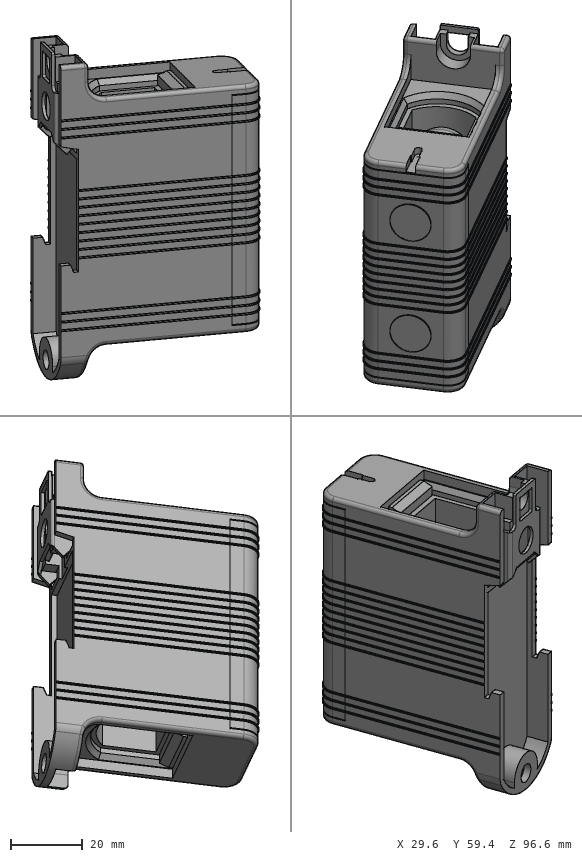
import cadquery as cq
import math

width = 29.0
half_width = width / 2
flange_top = 95.3
body_front = 59.0
flange_front = 8.1
block_bottom = 12.6
block_top = 85.0
block_middle = (block_bottom + block_top) / 2
corner_radius = 5.1
edge_round = 1.2
foot_radius = 16.2
foot_blend = 4.6

rib_height = 0.3
rib_width = 0.5
middle_rib_count = 9
middle_rib_span = 19.7
outer_rib_count = 3
outer_rib_pitch = 2.5
outer_rib_start = 25.7

wall = 2.0
foot_wall = 1.8
pocket_half_width = half_width - wall
pocket_depth = 6.8
web_bottom = 67.2
web_top = 69.0
notch_depth = 5.1
notch_bottom = 34.8
notch_ledge = 37.0
notch_lip_inner = 3.8
notch_lip_outer = 2.8
notch_top_inner = 70.6
notch_top_outer = 71.9

hole_height = 5.1
hole_diameter = 5.5
boss_diameter = 12.8
head_diameter = 9.8
lower_seat = 2.2
upper_seat = 3.4
upper_slot_height = 92.2
upper_slot_width = 6.3

guide_face = 1.2
guide_half_width = 5.5
guide_bottom = 71.4
rail_half_width = 7.1
rail_top = 88.1
groove_top = 85.0
groove_floor = 6.0

recess_half_width = 12.2
recess_depth = 2.9
recess_floor = block_top - recess_depth
window_back = 39.8
window_half_width = 10.6
window_side_end = 18.8
window_arc_end = 13.7
lead_in_half_width = 11.8
lead_in_side_end = 18.45
lead_in_arc_end = 12.4
lead_in_depth = 1.6

insert_top = 78.9
opening_back = 34.4
opening_half_width = 9.2
opening_side_end = 19.0
opening_arc_end = 15.4
corner_gap = 0.6
corner_gap_length = 1.45
bar_half_width = 8.9
bar_top = 83.7
bar_step = 82.6
bar_foot = 36.9
bar_overhang = 79.8
bar_front = 35.3
bar_ridge = 38.0
bar_rear = 39.1

cover_back = 49.9
cover_recess_top = 82.6
cover_gap = 0.3
slot_width = 2.7
slot_tip_width = 2.1
slot_step = 53.3
slot_end = 48.7
slot_depth = 2.1

plunger_spacing = 35.9
plunger_heights = [block_middle + plunger_spacing / 2, block_middle - plunger_spacing / 2]
plunger_diameter = 16.5
plunger_tip = 16.1
plunger_round = 4.9
shank_diameter = 11.8
shank_end = 59.4

clip_top = 96.6
clip_thickness = 1.0
clip_half_width = 8.6
neck_half_width = guide_half_width
shoulder_height = 85.7
shoulder_round = 1.45
neck_round = 0.5
clip_depth = 6.7
lip_thickness = 0.8
lip_inner = 6.0
tooth_tip_depth = 3.5
tooth_tip_height = 67.5
tooth_back_height = 71.1
lip_bottom = 69.4
plate_bottom = 73.2
plate_bottom_half_width = 5.0
plate_side_bottom = 70.7
clip_window_width = 6.9
clip_window_bottom = 86.9
clip_window_top = 94.5
clip_window_round = 0.7
clip_hole_diameter = 8.0
clip_hole_height = 79.4
catch_half_width = 2.6
catch_bottom = 72.1
catch_depth = 2.1


def box(x0, x1, y0, y1, z0, z1):
    """Block between the given limits."""
    return cq.Workplane("XY").box(x1 - x0, y1 - y0, z1 - z0, centered=False).translate((x0, y0, z0))


def wide_box(half, y0, y1, z0, z1):
    """Block centred on X = 0."""
    return box(-half, half, y0, y1, z0, z1)


def rod(diameter, y0, y1, z):
    """Round bar along Y at X = 0."""
    return cq.Workplane("XZ", origin=(0, y0, z)).circle(diameter / 2).extrude(y0 - y1)


def side_extrusion(points, x0, x1):
    """Polygon of (Y, Z) points, extruded from x0 to x1."""
    return cq.Workplane("YZ", origin=(x0, 0, 0)).polyline(points).close().extrude(x1 - x0)


def both_ends(shape):
    """The shape together with its mirror image about the middle height of the block."""
    return shape.union(shape.mirror("XY", (0, 0, block_middle)))


def both_sides(shape):
    """The shape together with its mirror image about X = 0."""
    return shape.union(shape.mirror("YZ"))


def foot_plate(half, radius, top, y0, y1):
    """Plate between y0 and y1 whose lower end is an arc about the foot centre."""
    shoulder = foot_radius - math.sqrt(radius**2 - half**2)
    return (
        cq.Workplane("XZ", origin=(0, y0, 0))
        .moveTo(-half, top)
        .lineTo(-half, shoulder)
        .threePointArc((0, foot_radius - radius), (half, shoulder))
        .lineTo(half, top)
        .close()
        .extrude(y0 - y1)
    )


def arched_plan(half, side_end, arc_end, back, height):
    """Window outline in X and Y at a height: straight sides closed by an arc on the -Y side."""
    return (
        cq.Workplane("XY", origin=(0, 0, height))
        .moveTo(-half, back)
        .lineTo(-half, side_end)
        .threePointArc((0, arc_end), (half, side_end))
        .lineTo(half, back)
        .close()
    )


def window_prism(half, side_end, arc_end, back, half_height):
    """Window outline extruded both ways from the middle height of the block."""
    return arched_plan(half, side_end, arc_end, back, block_middle).extrude(half_height, both=True)


def screw_slot(diameter, y0, y1, z, z_open):
    """Round hole along Y that opens straight up or down to z_open."""
    slot = wide_box(diameter / 2, y0, y1, min(z, z_open), max(z, z_open))
    return rod(diameter, y0, y1, z).union(slot)


def outer_block():
    """Block on its mounting flange, with rounded outer edges."""
    root = corner_radius
    turn = root * (1 - math.sqrt(0.5))
    profile = (
        cq.Workplane("YZ", origin=(-half_width, 0, 0))
        .lineTo(flange_front, 0)
        .lineTo(flange_front, block_bottom - root)
        .threePointArc((flange_front + turn, block_bottom - turn), (flange_front + root, block_bottom))
        .lineTo(body_front, block_bottom)
        .lineTo(body_front, block_top)
        .lineTo(flange_front + root, block_top)
        .threePointArc((flange_front + turn, block_top + turn), (flange_front, block_top + root))
        .lineTo(flange_front, flange_top)
        .lineTo(0, flange_top)
        .close()
        .extrude(width)
    )
    profile = profile.edges("|Z and >Y").fillet(corner_radius)
    foot = foot_plate(half_width, foot_radius, flange_top, 0, body_front)
    for x in (-half_width, half_width):
        corner = cq.NearestToPointSelector((x, body_front / 2, 0))
        foot = foot.edges("|Y").edges(corner).fillet(foot_blend)
    block = profile.intersect(foot)
    edge_points = [
        (0, body_front, block_top),
        (0, body_front, block_bottom),
        (0, flange_front, flange_top),
        (-half_width, flange_front / 2, flange_top),
        (half_width, flange_front / 2, flange_top),
    ]
    edges = [block.edges(cq.NearestToPointSelector(point)).val() for point in edge_points]
    return block.newObject(edges).fillet(edge_round)


def grip_ribs():
    """Thin bands round the sides and the front of the block."""
    middle_pitch = middle_rib_span / (middle_rib_count - 1)
    middle = [middle_pitch * i - middle_rib_span / 2 for i in range(middle_rib_count)]
    outer = [outer_rib_start + outer_rib_pitch * i for i in range(outer_rib_count)]
    ribs = cq.Workplane("XY")
    for offset in middle + outer + [-offset for offset in outer]:
        bottom = block_middle + offset - rib_width / 2
        rib = wide_box(half_width + rib_height, 0, body_front + rib_height, bottom, bottom + rib_width)
        ribs = ribs.add(rib.edges("|Z and >Y").fillet(corner_radius + rib_height))
    return ribs.combine()


def cover_zone(gap):
    """Space of the cover, smaller by the gap at its upper and lower ends."""
    half_height = cover_recess_top - gap - block_middle
    return wide_box(width, cover_back, shank_end, block_middle - half_height, block_middle + half_height)


def shank_holes():
    """Holes for the plunger shanks."""
    holes = cq.Workplane("XY")
    for z in plunger_heights:
        holes = holes.add(rod(shank_diameter, window_back, shank_end, z))
    return holes.combine()


def back_pockets():
    """Lower pocket with its rounded end and the upper pocket, open at the top."""
    lower = foot_plate(pocket_half_width, foot_radius - foot_wall, web_bottom, 0, pocket_depth)
    upper = wide_box(pocket_half_width, 0, pocket_depth, web_top, flange_top)
    boss = rod(boss_diameter, 0, pocket_depth, hole_height)
    foot_side = wide_box(boss_diameter / 2, 0, pocket_depth, 0, hole_height)
    return lower.cut(boss).cut(foot_side).union(upper)


def rail_notch():
    """Notch across the back for a mounting rail, undercut at its lower end."""
    points = [
        (0, notch_ledge),
        (notch_lip_outer, notch_ledge),
        (notch_lip_inner, notch_bottom),
        (notch_depth, notch_bottom),
        (notch_depth, notch_top_inner),
        (0, notch_top_outer),
    ]
    return side_extrusion(points, -width, width)


def clip_guide():
    """Guide block with side rails for the clip, and its foot on the web."""
    guide = wide_box(guide_half_width, guide_face, pocket_depth, guide_bottom, flange_top)
    rails = wide_box(rail_half_width, guide_face, notch_depth, guide_bottom, rail_top)
    foot = wide_box(guide_half_width, notch_depth, pocket_depth, web_bottom, guide_bottom)
    return guide.union(rails).union(foot)


def guide_groove():
    """Groove down the middle of the guide block and across the web."""
    return wide_box(upper_slot_width / 2, 0, groove_floor, web_bottom, groove_top)


def mounting_holes():
    """Lower hole and upper slot, each with a wider open seat for the screw head."""
    seat_end = flange_front + corner_radius
    lower = rod(hole_diameter, 0, flange_front, hole_height)
    lower = lower.union(screw_slot(head_diameter, lower_seat, seat_end, hole_height, 0))
    upper = screw_slot(upper_slot_width, 0, flange_front, upper_slot_height, flange_top)
    upper = upper.union(screw_slot(head_diameter, upper_seat, flange_front, upper_slot_height, flange_top))
    return lower.union(upper)


def lead_in_wires():
    """Outlines at the two ends of the lead-in slope."""
    wide = arched_plan(lead_in_half_width, lead_in_side_end, lead_in_arc_end, window_back, recess_floor)
    narrow = arched_plan(
        window_half_width, window_side_end, window_arc_end, window_back, recess_floor - lead_in_depth
    )
    return [wide.val(), narrow.val()]


def cable_window():
    """Passage through the block, with a sloped lead-in and a flat recess at both ends."""
    half_height = block_top - block_middle
    passage = window_prism(window_half_width, window_side_end, window_arc_end, window_back, half_height)
    lead_in = cq.Workplane(cq.Solid.makeLoft(lead_in_wires(), True))
    recess = wide_box(recess_half_width, flange_front, window_back, recess_floor, block_top + corner_radius)
    return passage.union(both_ends(lead_in.union(recess)))


def marker_slot():
    """Narrow stepped slot in the top face, open toward the cover."""
    half = slot_width / 2
    tip_radius = slot_tip_width / 2
    tip_start = slot_end + tip_radius
    return (
        cq.Workplane("XY", origin=(0, 0, block_top - slot_depth))
        .moveTo(-half, body_front)
        .lineTo(-half, slot_step)
        .lineTo(-tip_radius, slot_step)
        .lineTo(-tip_radius, tip_start)
        .threePointArc((0, slot_end), (tip_radius, tip_start))
        .lineTo(tip_radius, slot_step)
        .lineTo(half, slot_step)
        .lineTo(half, body_front)
        .close()
        .extrude(slot_depth)
    )


def make_housing(block):
    """Block with its back, window, slot and cover recess cut out."""
    housing = block.cut(back_pockets()).cut(rail_notch()).union(clip_guide())
    tools = [
        guide_groove(),
        mounting_holes(),
        cable_window(),
        marker_slot(),
        cover_zone(0),
        shank_holes(),
    ]
    for tool in tools:
        housing = housing.cut(tool)
    return housing


def make_cover(block):
    """Front cap of the block, with a small gap above and below."""
    return block.intersect(cover_zone(cover_gap)).cut(shank_holes())


def make_insert():
    """Sleeve through the window, with a hooked bar at both ends and bores for the plungers."""
    half_height = insert_top - block_middle
    sleeve = window_prism(window_half_width, window_side_end, window_arc_end, window_back, half_height)
    opening = window_prism(opening_half_width, opening_side_end, opening_arc_end, opening_back, half_height)
    notch = box(
        window_half_width - corner_gap, window_half_width, window_back - corner_gap_length, window_back,
        block_bottom, block_top,
    )
    bar_points = [
        (bar_foot, insert_top),
        (bar_foot, bar_overhang),
        (bar_front, bar_overhang),
        (bar_front, bar_step),
        (bar_ridge, bar_top),
        (bar_rear, bar_top),
        (bar_rear, insert_top),
    ]
    bar = side_extrusion(bar_points, -bar_half_width, bar_half_width)
    insert = sleeve.cut(opening).cut(both_sides(notch)).union(both_ends(bar))
    for z in plunger_heights:
        insert = insert.cut(rod(plunger_diameter, opening_back, window_back, z))
    return insert


def make_plunger(z):
    """Round-nosed plunger in the window, on a thinner shank that shows at the cover."""
    nose = rod(plunger_diameter, plunger_tip, window_back, z).edges("<Y").fillet(plunger_round)
    return nose.union(rod(shank_diameter, window_back, shank_end, z))


def make_clip():
    """Channel-shaped sliding clip with rail teeth on its flanges."""
    side_points = [
        (0, shoulder_height),
        (clip_depth, shoulder_height),
        (clip_depth, lip_bottom),
        (notch_depth, lip_bottom),
        (tooth_tip_depth, tooth_tip_height),
        (0, tooth_back_height),
    ]
    channel = side_extrusion(side_points, -clip_half_width, clip_half_width)
    channel = channel.edges("|Z and <Y").fillet(clip_thickness)
    inner = clip_half_width - clip_thickness
    channel = channel.cut(wide_box(inner, clip_thickness, clip_depth - lip_thickness, 0, clip_top))
    channel = channel.cut(wide_box(lip_inner, clip_thickness, clip_depth, 0, clip_top))
    neck = wide_box(neck_half_width, 0, clip_thickness, shoulder_height, clip_top)
    neck = neck.edges("|Y and >Z").fillet(neck_round)
    clip = channel.union(neck)
    for x in (-neck_half_width, neck_half_width):
        corner = cq.NearestToPointSelector((x, clip_thickness / 2, shoulder_height))
        clip = clip.edges("|Y").edges(corner).fillet(shoulder_round)
    return clip.cut(clip_lower_edge()).cut(clip_openings()).union(clip_catch())


def clip_lower_edge():
    """Cut that ends the clip plate above the teeth, with sloped corners."""
    inner = clip_half_width - clip_thickness
    points = [
        (-inner, tooth_tip_height),
        (-inner, plate_side_bottom),
        (-plate_bottom_half_width, plate_bottom),
        (plate_bottom_half_width, plate_bottom),
        (inner, plate_side_bottom),
        (inner, tooth_tip_height),
    ]
    return cq.Workplane("XZ").polyline(points).close().extrude(-clip_thickness)


def clip_openings():
    """Rounded rectangular window and round hole in the plate."""
    window = wide_box(clip_window_width / 2, 0, clip_thickness, clip_window_bottom, clip_window_top)
    window = window.edges("|Y and <Z").fillet(clip_window_round)
    return window.union(rod(clip_hole_diameter, 0, clip_thickness, clip_hole_height))


def clip_catch():
    """Small catch behind the lower edge of the plate, rounded underneath."""
    catch_top = plate_bottom + clip_thickness
    catch = wide_box(catch_half_width, clip_thickness, catch_depth, catch_bottom, catch_top)
    return catch.edges("|X and <Y and <Z").fillet(clip_thickness)


block = outer_block().union(grip_ribs())
housing = make_housing(block)
cover = make_cover(block)
insert = make_insert()
clip = make_clip()
plungers = [make_plunger(z) for z in plunger_heights]
bodies = [housing, cover, insert, clip, *plungers]
result = cq.Compound.makeCompound([body.solids().val() for body in bodies])